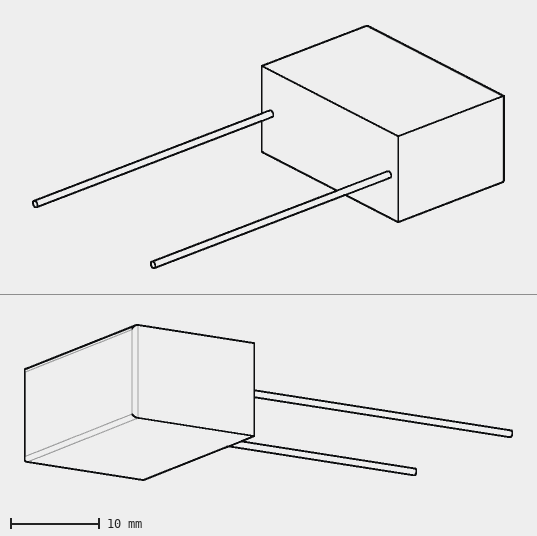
import cadquery as cq

case_width = 23.5
case_depth = 16.0
case_height = 10.8
rear_edge_radius = 0.5

lead_diameter = 0.8
lead_pitch = 20.3
overall_depth = 51.0
lead_length = overall_depth - case_depth


def make_case():
    """Block with its front face on the XZ plane, centred in X and Z."""
    block = cq.Workplane("XY").box(
        case_width, case_depth, case_height, centered=(True, False, True)
    )
    return block.faces(">Y").edges().fillet(rear_edge_radius)


def make_lead(x_position):
    """Wire standing on the front face of the case and running toward -Y."""
    return (
        cq.Workplane("XZ")
        .center(x_position, 0)
        .circle(lead_diameter / 2)
        .extrude(lead_length)
    )


case = make_case()
leads = [make_lead(side * lead_pitch / 2) for side in (-1, 1)]

result = cq.Compound.makeCompound([case.val(), *[lead.val() for lead in leads]])